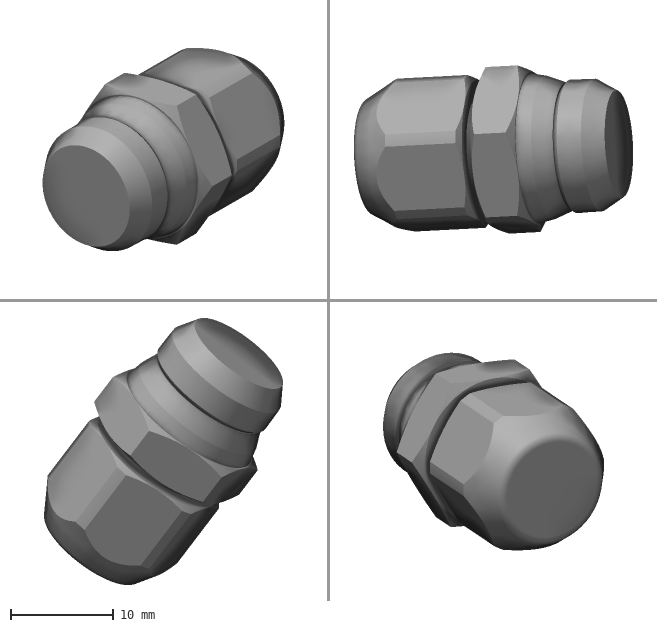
import cadquery as cq
import math

LENGTH = 25.5
BODY_FLATS = 15.0
NUT_FLATS = 14.0
NUT_CORNER_R = 7.75
HEX_HALF_ANGLE = 180 / 6
HEX_CHAMFER = 30.0
NUT_CONE = 30.0

PLUG_LEAD = 2.07
PLUG_SHOULDER = 4.55
GROOVE = 5.0
TAPER_STEP = 6.99
BODY_START = 8.47
BODY_END = 13.0
NUT_START = 14.02
NUT_CONE_START = 22.9

NECK_R = 5.3
PLUG_TIP_R = 5.28
PLUG_LEAD_R = 6.5
PLUG_SHOULDER_R = 6.55
GROOVE_R = 6.1
TAPER_START_R = 6.27
TAPER_STEP_R = 7.05
TAPER_END_R = 7.35
NUT_TIP_FILLET = 0.92


def revolve_profile(points):
    """Revolve a closed (radius, station) outline about the Y axis."""
    return cq.Workplane("XY").polyline(points).close().revolve(360, (0, 0, 0), (0, 1, 0))


def hex_prism(across_flats, start, end):
    """Hexagonal prism along Y with corners on +X and -X."""
    across_corners = across_flats / math.cos(math.radians(HEX_HALF_ANGLE))
    return (
        cq.Workplane("XZ", origin=(0, start, 0))
        .polygon(6, across_corners)
        .extrude(start - end)
    )


def chamfer_depth(outer_radius, face_radius):
    """Axial depth of a hexagon's conical end chamfer."""
    return (outer_radius - face_radius) * math.tan(math.radians(HEX_CHAMFER))


def make_plug():
    return revolve_profile([
        (0, 0),
        (PLUG_TIP_R, 0),
        (PLUG_LEAD_R, PLUG_LEAD),
        (PLUG_SHOULDER_R, PLUG_SHOULDER),
        (GROOVE_R, GROOVE),
        (TAPER_START_R, GROOVE),
        (TAPER_STEP_R, TAPER_STEP),
        (TAPER_END_R, BODY_START),
        (0, BODY_START),
    ])


def make_body_hex():
    face_r = BODY_FLATS / 2
    corner_r = face_r / math.cos(math.radians(HEX_HALF_ANGLE))
    depth = chamfer_depth(corner_r, face_r)
    envelope = revolve_profile([
        (0, BODY_START),
        (face_r, BODY_START),
        (corner_r, BODY_START + depth),
        (corner_r, BODY_END - depth),
        (face_r, BODY_END),
        (0, BODY_END),
    ])
    return hex_prism(BODY_FLATS, BODY_START, BODY_END).intersect(envelope)


def make_neck():
    return revolve_profile([(0, BODY_END), (NECK_R, BODY_END), (NECK_R, NUT_START), (0, NUT_START)])


def make_nut():
    face_r = NUT_FLATS / 2
    slope = math.tan(math.radians(NUT_CONE))
    cone_base = NUT_CONE_START - (NUT_CORNER_R - face_r) / slope
    tip_r = face_r - (LENGTH - NUT_CONE_START) * slope
    envelope = revolve_profile([
        (0, NUT_START),
        (face_r, NUT_START),
        (NUT_CORNER_R, NUT_START + chamfer_depth(NUT_CORNER_R, face_r)),
        (NUT_CORNER_R, cone_base),
        (tip_r, LENGTH),
        (0, LENGTH),
    ])
    envelope = envelope.faces(">Y").edges().fillet(NUT_TIP_FILLET)
    return hex_prism(NUT_FLATS, NUT_START, LENGTH).intersect(envelope)


fitting = make_plug().union(make_body_hex()).union(make_neck()).union(make_nut())
result = fitting.translate((0, -LENGTH / 2, 0))